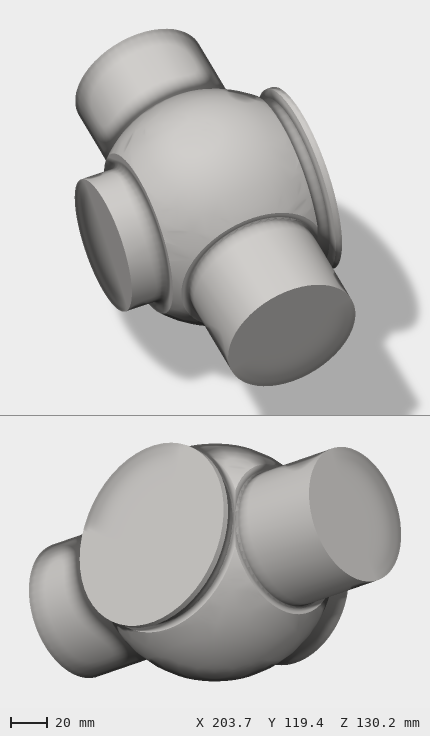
import cadquery as cq
import math

sphere_diameter = 130.2
side_face_x = 49.3
front_face_y = -46.0
back_face_y = 39.1

port_radius = 76.2 / 2
port_span = 203.7
front_port_end_y = -67.0
side_fillet = 1.2
front_fillet = 3.0

neck_radius = 95.3 / 2
flange_radius = 104.7 / 2
flange_end_y = 52.4
flange_rim_width = 3.7
flange_bevel_width = 1.8
neck_fillet = 0.6


def make_body():
    """Sphere cut flat on both X sides, at the front and at the back."""
    block = (
        cq.Workplane("XY")
        .box(2 * side_face_x, back_face_y - front_face_y, sphere_diameter)
        .translate((0, (back_face_y + front_face_y) / 2, 0))
    )
    return cq.Workplane("XY").sphere(sphere_diameter / 2).intersect(block)


def start_filleted_profile(radius, face_distance, fillet):
    """Half profile along +Y from the centre, up to the end of the fillet on the body face."""
    arc_offset = fillet * (1 - math.sqrt(0.5))
    return (
        cq.Workplane("XY")
        .lineTo(radius + fillet, 0)
        .lineTo(radius + fillet, face_distance)
        .threePointArc(
            (radius + arc_offset, face_distance + arc_offset),
            (radius, face_distance + fillet),
        )
    )


def revolve_about_y(profile):
    """Close the half profile and turn it about the Y axis."""
    return profile.close().revolve(360, (0, 0, 0), (0, 1, 0))


def make_port(face_distance, end_distance, fillet):
    """Solid port along +Y, with a fillet standing on the body face."""
    profile = (
        start_filleted_profile(port_radius, face_distance, fillet)
        .lineTo(port_radius, end_distance)
        .lineTo(0, end_distance)
    )
    return revolve_about_y(profile)


def make_flanged_neck():
    """Neck and flange, the flange bevelled on the side facing the body."""
    rim_start_y = flange_end_y - flange_rim_width
    bevel_start_y = rim_start_y - flange_bevel_width
    profile = (
        start_filleted_profile(neck_radius, back_face_y, neck_fillet)
        .lineTo(neck_radius, bevel_start_y)
        .lineTo(flange_radius, rim_start_y)
        .lineTo(flange_radius, flange_end_y)
        .lineTo(0, flange_end_y)
    )
    return revolve_about_y(profile)


z_axis = ((0, 0, 0), (0, 0, 1))
side_port = make_port(side_face_x, port_span / 2, side_fillet)
front_port = make_port(-front_face_y, -front_port_end_y, front_fillet)

result = make_body().union(make_flanged_neck())
for turn in (90, -90):
    result = result.union(side_port.rotate(*z_axis, turn))
result = result.union(front_port.rotate(*z_axis, 180))